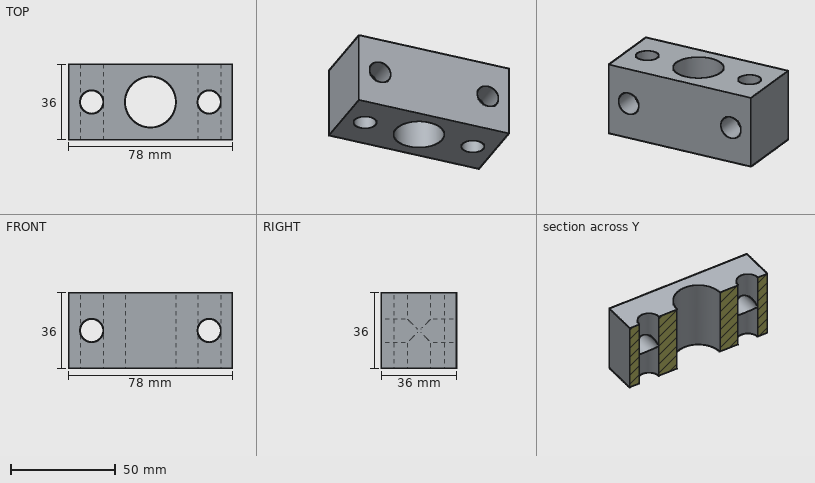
import cadquery as cq

block_length = 78.0
block_side = 36.0

bore_diameter = 24.2
bolt_hole_diameter = 11.0
bolt_hole_spacing = 56.0

bolt_hole_places = [(-bolt_hole_spacing / 2, 0), (bolt_hole_spacing / 2, 0)]

block = cq.Workplane("XY").box(block_length, block_side, block_side)

block = block.faces(">Z").workplane(origin=(0, 0, 0)).hole(bore_diameter)

for face in (">Z", "<Y"):
    face_plane = block.faces(face).workplane(origin=(0, 0, 0))
    block = face_plane.pushPoints(bolt_hole_places).hole(bolt_hole_diameter)

result = block